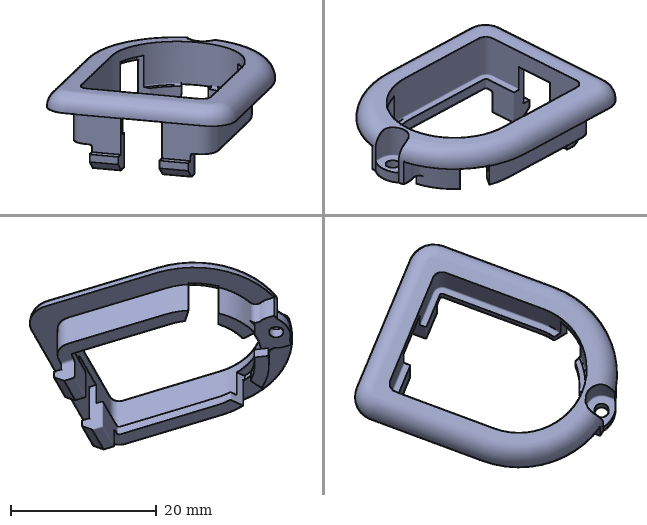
import cadquery as cq
import math

frame_radius = 13.5
frame_front = 20.0
frame_corner_radius = 3.5
frame_thickness = 2.5

skirt_radius = 10.3
skirt_front = 16.8
skirt_corner_radius = 2.3
skirt_bottom = -7.68
wall = 1.0
ledge_width = 1.0
ledge_top = -6.15
small_fillet = 0.2

front_gap_half_width = 2.95
arch_gap_half_angle = 13.3
side_slot_angle = 30
side_slot_top = -1.65
side_slot_overcut = 0.2
side_slot_outer_half_width = 2.07
side_slot_inner_half_width = 2.28
side_slot_outer_reach = 10.1
side_slot_inner_reach = 8.05

hook_outer_x = 7.07
hook_root_fillet = 0.4
hook_bottom = -11.15
barb_front = 17.9
barb_top = -8.75
barb_tip_bottom = -9.82
barb_foot_front = 16.4

eyelet_y = 12.2
eyelet_tip = 14.0
eyelet_hole_radius = 1.0
recess_radius = 2.2
recess_floor = -4.55
boss_radius = 3.0
boss_blend_radius = 1.0


def arch_prism(radius, front, corner_radius, z_low, z_high):
    """Solid with a round back, straight sides and rounded front corners."""
    return (
        cq.Workplane("XY", origin=(0, 0, z_low))
        .moveTo(radius, 0)
        .threePointArc((0, radius), (-radius, 0))
        .lineTo(-radius, -front)
        .lineTo(radius, -front)
        .close()
        .extrude(z_high - z_low)
        .edges("|Z and <Y")
        .fillet(corner_radius)
    )


def skirt_prism(inset, z_low, z_high):
    """Solid bounded by the outer face of the skirt moved inwards by inset."""
    return arch_prism(
        skirt_radius - inset, skirt_front - inset, skirt_corner_radius - inset, z_low, z_high
    )


def u_prism(radius, y_end, z_low, z_high):
    """Solid with a half-round front about the eyelet axis, running straight back to y_end."""
    return (
        cq.Workplane("XY", origin=(0, 0, z_low))
        .moveTo(-radius, y_end)
        .lineTo(-radius, eyelet_y)
        .threePointArc((0, eyelet_y - radius), (radius, eyelet_y))
        .lineTo(radius, y_end)
        .close()
        .extrude(z_high - z_low)
    )


def make_frame():
    """Filled frame with a full quarter round along its outer edge."""
    blank = arch_prism(
        frame_radius, frame_front, frame_corner_radius, -2 * frame_thickness, 0
    )
    rounded = blank.faces(">Z").edges().fillet(frame_thickness)
    upper_half = (
        cq.Workplane("XY", origin=(0, 0, -frame_thickness))
        .rect(4 * frame_radius, 4 * frame_radius)
        .extrude(frame_thickness)
    )
    return rounded.intersect(upper_half)


def make_outer_skirt():
    """Filled skirt with the eyelet boss blended into its back."""
    boss_limit = arch_prism(
        frame_radius, frame_front, frame_corner_radius, ledge_top, -frame_thickness
    )
    boss = u_prism(boss_radius, 2 * frame_radius, ledge_top, -frame_thickness).intersect(boss_limit)
    upper = skirt_prism(0, ledge_top, -frame_thickness).union(boss)
    blend_zone = cq.selectors.BoxSelector(
        (-boss_radius, skirt_radius - wall, ledge_top),
        (boss_radius, eyelet_y - boss_radius / 4, -frame_thickness),
    )
    upper = upper.edges("|Z").edges(blend_zone).fillet(boss_blend_radius)
    return upper.union(skirt_prism(0, skirt_bottom, ledge_top))


def make_opening():
    """Space inside the skirt, narrowed by the ledge, with a filleted ledge root."""
    above_ledge = skirt_prism(wall, ledge_top, 0).faces("<Z").edges().fillet(small_fillet)
    return above_ledge.union(skirt_prism(wall + ledge_width, hook_bottom, ledge_top + small_fillet))


def make_front_gap():
    """Block that splits the front wall below the frame."""
    return (
        cq.Workplane("XY", origin=(0, -skirt_front, hook_bottom))
        .rect(2 * front_gap_half_width, skirt_front)
        .extrude(-frame_thickness - hook_bottom)
    )


def make_arch_gap():
    """Wedge that shortens the skirt to the ledge height between the two arch tabs.

    Inside the wall it reaches higher, to take the ledge root fillet with it.
    """
    reach = 2 * skirt_radius
    half_width = reach * math.tan(math.radians(arch_gap_half_angle))
    wedge = (
        cq.Workplane("XY", origin=(0, 0, hook_bottom))
        .polyline([(0, 0), (half_width, reach), (-half_width, reach)])
        .close()
        .extrude(ledge_top + small_fillet - hook_bottom)
    )
    below_wall = skirt_prism(-2 * boss_radius, hook_bottom, ledge_top)
    inside_wall = skirt_prism(wall, hook_bottom, ledge_top + small_fillet)
    return wedge.intersect(below_wall.union(inside_wall))


def make_side_slot():
    """Slot through the right side of the arch, slightly wider towards the inside.

    Its top bites into the frame, but ends just outside the skirt wall.
    """
    taper = (side_slot_inner_half_width - side_slot_outer_half_width) / (
        side_slot_outer_reach - side_slot_inner_reach
    )
    start = skirt_radius - 2 * (wall + ledge_width)
    end = skirt_radius + wall
    start_half = side_slot_inner_half_width + taper * (side_slot_inner_reach - start)
    end_half = side_slot_inner_half_width + taper * (side_slot_inner_reach - end)
    slot = (
        cq.Workplane("XY", origin=(0, 0, hook_bottom))
        .polyline([(start, -start_half), (end, -end_half), (end, end_half), (start, start_half)])
        .close()
        .extrude(side_slot_top - hook_bottom)
        .rotate((0, 0, 0), (0, 0, 1), side_slot_angle)
    )
    return slot.intersect(skirt_prism(-side_slot_overcut, hook_bottom, side_slot_top))


def mirror_pair(solid):
    """The solid together with its mirror image on the left side."""
    return solid.union(solid.mirror("YZ"))


def round_ledge_ends(body):
    """Round the free inner corner at every end of the ledge."""
    ledge_radius = skirt_radius - wall - ledge_width
    slot_half_angle = math.degrees(math.asin(side_slot_inner_half_width / ledge_radius))
    end_angles = (
        90 - arch_gap_half_angle,
        side_slot_angle + slot_half_angle,
        side_slot_angle - slot_half_angle,
    )
    corners = [(front_gap_half_width, wall + ledge_width - skirt_front)]
    for angle in end_angles:
        turn = math.radians(angle)
        corners.append((ledge_radius * math.cos(turn), ledge_radius * math.sin(turn)))
    middle_z = (ledge_top + skirt_bottom) / 2
    for x, y in corners:
        for side in (1, -1):
            corner = cq.selectors.NearestToPointSelector((side * x, y, middle_z))
            body = body.edges("|Z").edges(corner).fillet(small_fillet)
    return body


def make_hook():
    """Snap hook below the right half of the front wall."""
    back = wall + ledge_width - skirt_front
    width = hook_outer_x - front_gap_half_width
    hook = (
        cq.Workplane("YZ", origin=(front_gap_half_width, 0, 0))
        .polyline([
            (back, skirt_bottom),
            (-skirt_front, skirt_bottom),
            (-skirt_front, barb_top),
            (-barb_front, barb_top),
            (-barb_front, barb_tip_bottom),
            (-barb_foot_front, hook_bottom),
            (back, hook_bottom),
        ])
        .close()
        .extrude(width)
    )
    inner_corner = cq.selectors.NearestToPointSelector(
        (front_gap_half_width, back, (skirt_bottom + hook_bottom) / 2)
    )
    hook = hook.edges("|Z").edges(inner_corner).fillet(small_fillet)
    hook = hook.faces("<Z").edges(">Y").fillet(small_fillet)
    root = (
        cq.Workplane("XZ", origin=(hook_outer_x, back, skirt_bottom))
        .lineTo(hook_root_fillet, 0)
        .radiusArc((0, -hook_root_fillet), -hook_root_fillet)
        .close()
        .extrude(wall + ledge_width)
    )
    return hook.union(root)


def cut_eyelet(body):
    """Recess the frame above the lug, add the lug tip and drill the hole."""
    recess = u_prism(recess_radius, 2 * frame_radius, recess_floor, 0)
    recess = recess.faces("<Z").edges("not >Y").fillet(small_fillet)
    tip_y = math.sqrt(frame_radius**2 - recess_radius**2)
    lug_tip = (
        cq.Workplane("XY", origin=(0, 0, ledge_top))
        .moveTo(-recess_radius, eyelet_y)
        .lineTo(-recess_radius, tip_y)
        .threePointArc((0, eyelet_tip), (recess_radius, tip_y))
        .lineTo(recess_radius, eyelet_y)
        .close()
        .extrude(recess_floor - ledge_top)
    )
    hole = (
        cq.Workplane("XY", origin=(0, eyelet_y, ledge_top))
        .circle(eyelet_hole_radius)
        .extrude(-ledge_top)
    )
    return body.cut(recess).union(lug_tip).cut(hole)


frame_body = make_frame().union(make_outer_skirt()).cut(make_opening())
frame_body = frame_body.cut(make_front_gap()).cut(make_arch_gap()).cut(mirror_pair(make_side_slot()))
frame_body = round_ledge_ends(frame_body)
frame_body = frame_body.union(mirror_pair(make_hook()))
result = cut_eyelet(frame_body)